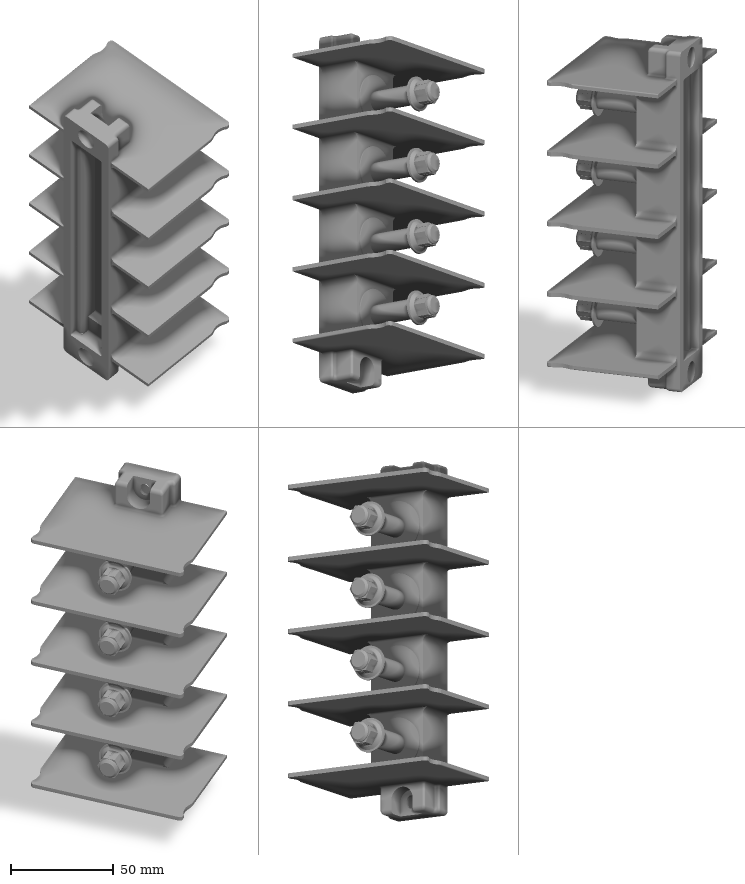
import cadquery as cq
import math

LENGTH = 174.2
HALF_WIDTH = 15.0
BODY_BACK = 22.8
FRONT_STRIP = 2.0

PLATE_COUNT = 5
PLATE_SPAN = 144.0
PITCH = PLATE_SPAN / (PLATE_COUNT - 1)
PLATE_THICKNESS = 2.1
PLATE_WIDTH = 80.0
PLATE_BACK = 60.8
PLATE_CORNER = 2.0
PLATE_EDGE_ROUND = 0.5
SIDE_NOTCH_DEPTH = 1.5
SIDE_NOTCH_LIP = 0.5
LIP_BACK = 2.8
CURVE_BACK = 3.7
CURVE_FRONT = 12.0
LIP_FRONT = 14.1
SIDE_FILLET = 3.0
BACK_FILLET = 0.9
PLATE_Z = [(i - (PLATE_COUNT - 1) / 2) * PITCH for i in range(PLATE_COUNT)]
STUD_Z = [(low + high) / 2 for low, high in zip(PLATE_Z, PLATE_Z[1:])]
END_Z = PLATE_Z[-1]
PLATE_OUTER_Z = END_Z + PLATE_THICKNESS / 2

END_BACK = 18.1
END_HALF_WIDTH = 12.7
STEP_Y = 7.8
STEP_RADIUS = (HALF_WIDTH - END_HALF_WIDTH) / 2
END_ROUND = 2.1
FOOT_FILLET = 1.0
SELECT_MARGIN = 0.2
HOLE_INSET = 6.6
HOLE_Z = LENGTH / 2 - HOLE_INSET
BORE_DIAMETER = 10.5
BORE_DEPTH = 8.0
SLOT_WIDTH = 4.9
SLOT_LENGTH = 6.6
RELIEF_WIDTH = 12.2
RELIEF_FLOOR = 9.8

RECESS_HALF_WIDTH = 10.3
RECESS_HALF_LENGTH = 72.1
RECESS_DEPTH = 3.8
RECESS_CORNER = 0.7
RECESS_FLOOR_FILLET = 0.5
CHANNEL_HALF_WIDTH = 6.1
CHANNEL_DEPTH = 13.0
CHANNEL_CHAMFER = 1.2
STOP_DEPTH = 8.0
STOP_HALF_SPAN = 61.8
END_FILLET = 0.9

COLLAR_DIAMETER = 26.3
COLLAR_BACK = 23.5
STUD_DIAMETER = 10.0
STUD_BACK = 58.9
STUD_CHAMFER = 1.0
WASHER_DIAMETER = 17.0
WASHER_FRONT = 47.9
WASHER_BACK = 49.0
CONE_BACK = 50.5
CONE_BASE_DIAMETER = 15.0
CONE_TIP_DIAMETER = 12.0
HEX_BACK = 57.0
HEX_FLATS = 10.6
HEX_GROOVE_WIDTH = 1.2
HEX_GROOVE_DEPTH = 0.2


def box(x0, x1, y0, y1, z0, z1):
    return cq.Workplane("XY").box(x1 - x0, y1 - y0, z1 - z0, centered=False).translate((x0, y0, z0))


def cylinder_y(diameter, y0, y1, z=0):
    """Cylinder on the part's centre plane, running along Y."""
    return cq.Workplane("XZ", origin=(0, y0, z)).circle(diameter / 2).extrude(y0 - y1)


def mirrored(solid, plane):
    return solid.union(solid.mirror(plane))


def plate(z):
    """Separator plate with rounded back corners and a shallow curved notch in each side."""
    half = PLATE_WIDTH / 2
    corner_mid = PLATE_CORNER * (1 - math.sqrt(0.5))
    curve_mid = (CURVE_BACK + CURVE_FRONT) / 2
    outline = (
        cq.Workplane("XY", origin=(0, 0, z - PLATE_THICKNESS / 2))
        .moveTo(0, FRONT_STRIP)
        .lineTo(half, FRONT_STRIP)
        .lineTo(half, PLATE_BACK - LIP_FRONT)
        .lineTo(half - SIDE_NOTCH_LIP, PLATE_BACK - CURVE_FRONT)
        .threePointArc(
            (half - SIDE_NOTCH_DEPTH, PLATE_BACK - curve_mid),
            (half - SIDE_NOTCH_LIP, PLATE_BACK - CURVE_BACK),
        )
        .lineTo(half, PLATE_BACK - LIP_BACK)
        .lineTo(half, PLATE_BACK - PLATE_CORNER)
        .threePointArc((half - corner_mid, PLATE_BACK - corner_mid), (half - PLATE_CORNER, PLATE_BACK))
        .lineTo(0, PLATE_BACK)
        .close()
    )
    return mirrored(outline.extrude(PLATE_THICKNESS), "YZ")


def end_plate():
    """Top plate, its outer side edges rounded."""
    envelope = box(-PLATE_WIDTH / 2, PLATE_WIDTH / 2, 0, PLATE_BACK, 0, PLATE_OUTER_Z)
    envelope = envelope.faces(">Z").edges("|Y").fillet(PLATE_EDGE_ROUND)
    return plate(END_Z).intersect(envelope)


def root_section(plane, origin, radius, away_x, away_z):
    """Concave fillet section: a corner square with a quarter circle cut out of it."""
    mid = radius * (1 - math.sqrt(0.5))
    return (
        cq.Workplane(plane, origin=origin)
        .lineTo(away_x * radius, 0)
        .threePointArc((away_x * mid, away_z * mid), (0, away_z * radius))
        .close()
    )


def plate_roots(z, side):
    """Fillets joining one face of a plate (side is +1 above, -1 below) to the body."""
    face_z = z + side * PLATE_THICKNESS / 2
    right = root_section("XZ", (HALF_WIDTH, FRONT_STRIP, face_z), SIDE_FILLET, 1, side)
    right = right.extrude(FRONT_STRIP - BODY_BACK)
    back = root_section("YZ", (-HALF_WIDTH, BODY_BACK, face_z), BACK_FILLET, 1, side)
    back = back.extrude(2 * HALF_WIDTH)
    return mirrored(right, "YZ").union(back)


def mounting_end():
    """Stepped end block standing on the top plate, before its end and foot are rounded."""
    arc = STEP_RADIUS * math.sqrt(0.5)
    step_x = HALF_WIDTH - STEP_RADIUS
    round_y = STEP_Y - STEP_RADIUS
    hollow_y = STEP_Y + STEP_RADIUS
    profile = (
        cq.Workplane("XY", origin=(0, 0, END_Z))
        .lineTo(HALF_WIDTH, 0)
        .lineTo(HALF_WIDTH, round_y)
        .threePointArc((step_x + arc, round_y + arc), (step_x, STEP_Y))
        .threePointArc((step_x - arc, hollow_y - arc), (END_HALF_WIDTH, hollow_y))
        .lineTo(END_HALF_WIDTH, END_BACK)
        .lineTo(0, END_BACK)
        .close()
    )
    block = mirrored(profile.extrude(LENGTH / 2 - END_Z), "YZ")
    return block.edges("|Z and >Y").fillet(STEP_RADIUS)


def mounting_cuts():
    """Counterbored slot from the front and U-shaped relief from the back of the top end."""
    bore = cylinder_y(BORE_DIAMETER, 0, BORE_DEPTH, HOLE_Z)
    slot = (
        cq.Workplane("XZ", origin=(0, 0, HOLE_Z))
        .slot2D(SLOT_LENGTH, SLOT_WIDTH, 90)
        .extrude(-RELIEF_FLOOR)
    )
    relief = cylinder_y(RELIEF_WIDTH, RELIEF_FLOOR, END_BACK, HOLE_Z)
    half = RELIEF_WIDTH / 2
    relief = relief.union(box(-half, half, RELIEF_FLOOR, END_BACK, HOLE_Z, LENGTH / 2))
    return bore.union(slot).union(relief)


def top_end():
    """Top plate and end block joined, rounded and drilled."""
    end = end_plate().union(mounting_end())
    margin = SELECT_MARGIN
    foot_edges = cq.selectors.BoxSelector(
        (-HALF_WIDTH - margin, FRONT_STRIP - margin, PLATE_OUTER_Z - margin),
        (HALF_WIDTH + margin, END_BACK + margin, PLATE_OUTER_Z + margin),
        boundingbox=True,
    )
    end = end.edges(foot_edges).edges("not(<Y)").fillet(FOOT_FILLET)
    end = end.faces(">Z").edges("not(<Y)").fillet(END_ROUND)
    return end.cut(mounting_cuts())


def channel():
    """Stepped front channel with a chamfered mouth and a raised stop at each end."""
    half_length = RECESS_HALF_LENGTH
    recess = box(-RECESS_HALF_WIDTH, RECESS_HALF_WIDTH, 0, RECESS_DEPTH, -half_length, half_length)
    recess = recess.edges("|Y").fillet(RECESS_CORNER)
    recess = recess.faces(">Y").edges().fillet(RECESS_FLOOR_FILLET)

    half = CHANNEL_HALF_WIDTH
    upper = box(-half, half, 0, STOP_DEPTH, -half_length, half_length)
    upper = upper.faces(">Y").edges("|X").fillet(END_FILLET)
    lower = box(-half, half, RECESS_DEPTH, CHANNEL_DEPTH, -STOP_HALF_SPAN, STOP_HALF_SPAN)
    lower = lower.faces(">Y").edges("|X").fillet(END_FILLET)

    mouth_half_length = half_length - RECESS_FLOOR_FILLET
    mouth = (
        cq.Workplane("XY", origin=(CHANNEL_HALF_WIDTH, RECESS_DEPTH, -mouth_half_length))
        .lineTo(CHANNEL_CHAMFER, 0)
        .lineTo(0, CHANNEL_CHAMFER)
        .close()
        .extrude(2 * mouth_half_length)
    )
    return recess.union(upper).union(lower).union(mirrored(mouth, "YZ"))


def terminal(z):
    """Collar, stud and flange nut."""
    collar = cylinder_y(COLLAR_DIAMETER, BODY_BACK, COLLAR_BACK)
    stud = cylinder_y(STUD_DIAMETER, BODY_BACK, STUD_BACK).faces(">Y").chamfer(STUD_CHAMFER)
    washer = cylinder_y(WASHER_DIAMETER, WASHER_FRONT, WASHER_BACK)
    cone = (
        cq.Workplane("XZ", origin=(0, WASHER_BACK, 0))
        .circle(CONE_BASE_DIAMETER / 2)
        .workplane(offset=WASHER_BACK - CONE_BACK)
        .circle(CONE_TIP_DIAMETER / 2)
        .loft()
    )
    sides = 6
    hexagon = (
        cq.Workplane("XZ", origin=(0, WASHER_BACK, 0))
        .polygon(sides, HEX_FLATS / math.cos(math.pi / sides))
        .extrude(WASHER_BACK - HEX_BACK)
    )
    half = HEX_GROOVE_WIDTH / 2
    groove = box(-half, half, WASHER_BACK, HEX_BACK, HEX_FLATS / 2 - HEX_GROOVE_DEPTH, HEX_FLATS)
    for i in range(sides):
        hexagon = hexagon.cut(groove.rotate((0, 0, 0), (0, 1, 0), i * 360 / sides))
    return collar.union(stud).union(washer).union(cone).union(hexagon).translate((0, 0, z))


body = box(-HALF_WIDTH, HALF_WIDTH, 0, BODY_BACK, -END_Z, END_Z)
body = body.union(mirrored(top_end(), "XY"))
for plate_z in PLATE_Z[1:-1]:
    body = body.union(plate(plate_z))
for plate_z in PLATE_Z[1:]:
    body = body.union(plate_roots(plate_z, -1))
for plate_z in PLATE_Z[:-1]:
    body = body.union(plate_roots(plate_z, 1))
for stud_z in STUD_Z:
    body = body.union(terminal(stud_z))

result = body.cut(channel())